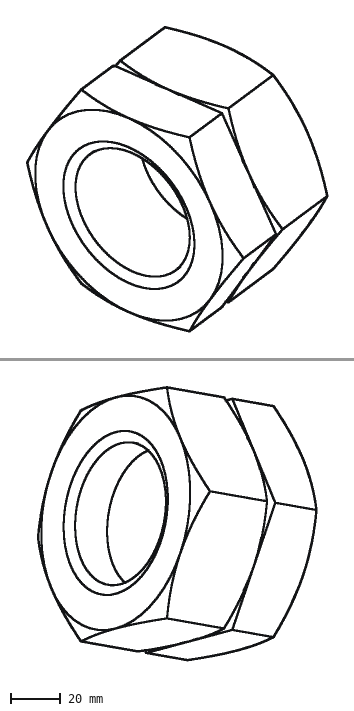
import cadquery as cq
import math

ACROSS_CORNERS = 109.7
TOTAL_LENGTH = 63.5
LOCK_NUT_LENGTH = 25.6
BORE_DIAMETER = 57.9
COUNTERSINK_DIAMETER = 66.5
CHAMFER_ANGLE = 30.0

MAIN_NUT_LENGTH = TOTAL_LENGTH - LOCK_NUT_LENGTH
CHAMFER_SLOPE = math.tan(math.radians(CHAMFER_ANGLE))
CORNER_RADIUS = ACROSS_CORNERS / 2
FLAT_RADIUS = CORNER_RADIUS * math.cos(math.pi / 6)
CORNER_DROP = (CORNER_RADIUS - FLAT_RADIUS) * CHAMFER_SLOPE
BORE_RADIUS = BORE_DIAMETER / 2
COUNTERSINK_RADIUS = COUNTERSINK_DIAMETER / 2
COUNTERSINK_DEPTH = (COUNTERSINK_RADIUS - BORE_RADIUS) * CHAMFER_SLOPE

BOSS_RADIUS = COUNTERSINK_RADIUS
BOSS_LENGTH = MAIN_NUT_LENGTH / 2

FRONT_Y = -TOTAL_LENGTH / 2
JOINT_Y = FRONT_Y + LOCK_NUT_LENGTH
BACK_Y = JOINT_Y + MAIN_NUT_LENGTH


def revolve_about_y(profile):
    """Solid of revolution about Y from (radius, y) points."""
    return cq.Workplane("XY").polyline(profile).close().revolve(360, (0, 0, 0), (0, 1, 0))


def hex_blank(y_start, y_end, start_drop, end_drop):
    """Hexagonal bar along Y, corners on the X axis, coned at either end; a zero drop leaves an end square."""
    bar = cq.Workplane("XZ", origin=(0, y_start, 0)).polygon(6, ACROSS_CORNERS).extrude(y_start - y_end)
    envelope = revolve_about_y([
        (0, y_start),
        (FLAT_RADIUS, y_start),
        (CORNER_RADIUS, y_start + start_drop),
        (CORNER_RADIUS, y_end - end_drop),
        (FLAT_RADIUS, y_end),
        (0, y_end),
    ])
    return bar.intersect(envelope)


def countersunk_bore():
    """Cutter for the bore through both nuts, countersunk at the two outer faces."""
    return revolve_about_y([
        (0, FRONT_Y),
        (COUNTERSINK_RADIUS, FRONT_Y),
        (BORE_RADIUS, FRONT_Y + COUNTERSINK_DEPTH),
        (BORE_RADIUS, BACK_Y - COUNTERSINK_DEPTH),
        (COUNTERSINK_RADIUS, BACK_Y),
        (0, BACK_Y),
    ])


def boss_cylinder():
    """Cylinder from the joint into the main nut: the lock nut's boss and the main nut's recess."""
    return cq.Workplane("XZ", origin=(0, JOINT_Y, 0)).circle(BOSS_RADIUS).extrude(-BOSS_LENGTH)


def make_main_nut():
    """Thick nut, corners chamfered on both faces, recessed for the boss."""
    blank = hex_blank(JOINT_Y, BACK_Y, CORNER_DROP, CORNER_DROP)
    return blank.cut(boss_cylinder()).cut(countersunk_bore())


def make_lock_nut():
    """Thin nut, corners chamfered on the outer face only, with the boss on its inner face."""
    blank = hex_blank(FRONT_Y, JOINT_Y, CORNER_DROP, 0)
    return blank.union(boss_cylinder()).cut(countersunk_bore())


main_nut = make_main_nut()
lock_nut = make_lock_nut()

result = cq.Compound.makeCompound([main_nut.solids().val(), lock_nut.solids().val()])